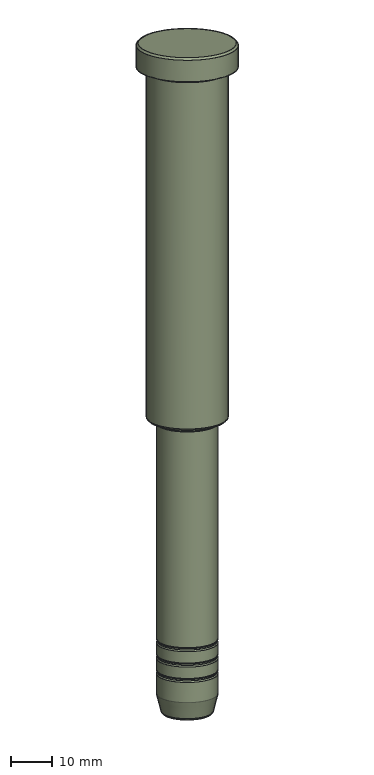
import cadquery as cq

total_length = 171.0

head_diameter = 25.0
head_height = 6.0
head_chamfer = 0.5

shank_diameter = 20.0
shank_end_depth = 96.0
shank_chamfer = 0.5

pilot_diameter = 15.0
nose_length = 5.0
nose_end_diameter = 12.8
nose_chamfer = 0.5

undercut_width = 1.0
undercut_depth = 0.3
undercut_flare = 0.3

groove_count = 3
groove_width = 1.0
groove_depth = 0.25
groove_flare = 0.3
groove_pitch = 4.0
first_groove_depth = 152.0

head_bottom = total_length - head_height
shank_bottom = total_length - shank_end_depth


def cylinder(diameter, bottom, top):
    return cq.Workplane("XY").workplane(offset=bottom).circle(diameter / 2).extrude(top - bottom)


def ring_cut(diameter, top, width, depth, flare=0):
    """Ring that cuts a groove; each side wall leans outward by flare along the axis."""
    radius = diameter / 2
    bottom = top - width
    return (
        cq.Workplane("XZ")
        .moveTo(radius, top)
        .lineTo(radius - depth, top - flare)
        .lineTo(radius - depth, bottom + flare)
        .lineTo(radius, bottom)
        .close()
        .revolve(360, (0, 0), (0, 1))
    )


def make_nose():
    """Tapered nose with a chamfered end face."""
    pilot_radius = pilot_diameter / 2
    end_radius = nose_end_diameter / 2
    return (
        cq.Workplane("XZ")
        .lineTo(end_radius - nose_chamfer, 0)
        .lineTo(end_radius, nose_chamfer)
        .lineTo(pilot_radius, nose_length)
        .lineTo(0, nose_length)
        .close()
        .revolve(360, (0, 0), (0, 1))
    )


head = cylinder(head_diameter, head_bottom, total_length).faces(">Z").edges().chamfer(head_chamfer)

shank = cylinder(shank_diameter, shank_bottom, head_bottom).faces("<Z").edges().chamfer(shank_chamfer)
shank = shank.cut(ring_cut(shank_diameter, head_bottom, undercut_width, undercut_depth, undercut_flare))

pilot = cylinder(pilot_diameter, nose_length, shank_bottom)
pilot = pilot.cut(ring_cut(pilot_diameter, shank_bottom, undercut_width, undercut_depth))
for index in range(groove_count):
    groove_top = total_length - first_groove_depth - index * groove_pitch
    pilot = pilot.cut(ring_cut(pilot_diameter, groove_top, groove_width, groove_depth, groove_flare))

result = head.union(shank).union(pilot).union(make_nose())